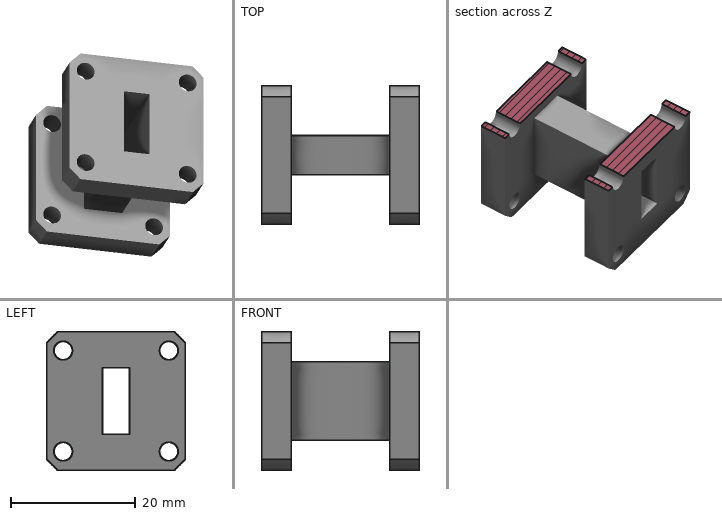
import cadquery as cq

length = 25.4
flange_side = 22.35
flange_thickness = 4.8
corner_chamfer = 1.8

tube_width = 6.35
tube_height = 12.7
bore_width = 4.32
bore_height = 10.67

hole_diameter = 2.95
hole_spacing_y = 17.02
hole_spacing_z = 16.25


def make_flange(start_x):
    """Square flange with chamfered corners and four bolt holes."""
    flange = (
        cq.Workplane("YZ", origin=(start_x, 0, 0))
        .rect(flange_side, flange_side)
        .extrude(flange_thickness)
        .edges("|X")
        .chamfer(corner_chamfer)
    )
    bolt_holes = (
        cq.Workplane("YZ", origin=(start_x, 0, 0))
        .rect(hole_spacing_y, hole_spacing_z, forConstruction=True)
        .vertices()
        .circle(hole_diameter / 2)
        .extrude(flange_thickness)
    )
    return flange.cut(bolt_holes)


def make_bar(width, height):
    """Rectangular bar over the full length, centred on the origin."""
    return cq.Workplane("XY").box(length, width, height)


result = make_bar(tube_width, tube_height)
for start_x in (-length / 2, length / 2 - flange_thickness):
    result = result.union(make_flange(start_x))

result = result.cut(make_bar(bore_width, bore_height))